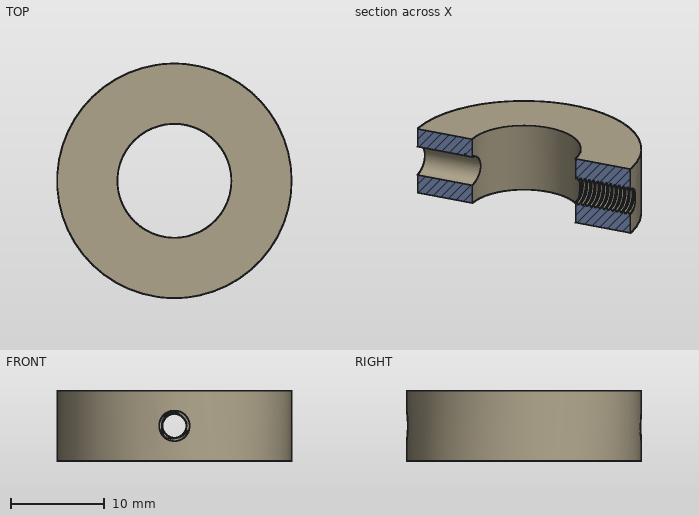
import cadquery as cq
import math

outer_diameter = 25.0
bore_diameter = 12.11
collar_width = 7.5

clearance_diameter = 3.25
thread_minor_diameter = 2.53
thread_major_diameter = 3.09
thread_pitch = 0.5
thread_flank_angle = 30.0
thread_root_flat = thread_pitch / 8
thread_start_angle = 195.0
thread_overlap = 0.1

outer_radius = outer_diameter / 2
bore_radius = bore_diameter / 2
mid_height = collar_width / 2


def make_ring():
    return cq.Workplane("XY").circle(outer_radius).circle(bore_radius).extrude(collar_width)


def make_cross_hole(diameter, direction):
    """Cylinder from the collar axis out to the rim, towards +Y (1) or -Y (-1)."""
    start = cq.Vector(0, 0, mid_height)
    axis = cq.Vector(0, direction, 0)
    return cq.Workplane(cq.Solid.makeCylinder(diameter / 2, outer_radius, start, axis))


def make_thread_groove():
    """Right-handed helical groove running through the +Y wall, from the bore past the rim."""
    major_radius = thread_major_diameter / 2
    inner_radius = thread_minor_diameter / 2 - thread_overlap
    bottom_half_width = thread_root_flat / 2
    flank_rise = (major_radius - inner_radius) * math.tan(math.radians(thread_flank_angle))
    mouth_half_width = bottom_half_width + flank_rise

    start_y = bore_radius - 2 * thread_pitch
    length = outer_radius + thread_pitch - start_y
    helix = cq.Workplane(cq.Wire.makeHelix(thread_pitch, length, major_radius))
    profile = cq.Workplane("XZ").polyline([
        (inner_radius, -mouth_half_width),
        (major_radius, -bottom_half_width),
        (major_radius, bottom_half_width),
        (inner_radius, mouth_half_width),
    ]).close()
    groove = profile.sweep(helix, isFrenet=True)

    groove = groove.rotate((0, 0, 0), (1, 0, 0), -90)
    groove = groove.rotate((0, 0, 0), (0, 1, 0), thread_start_angle)
    return groove.translate((0, start_y, mid_height))


result = (
    make_ring()
    .cut(make_cross_hole(clearance_diameter, -1))
    .cut(make_thread_groove())
    .cut(make_cross_hole(thread_minor_diameter, 1))
)